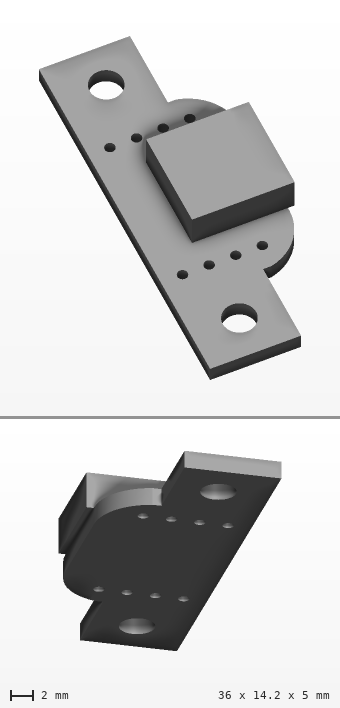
import cadquery as cq
import math

board_length = 36.0
board_thickness = 1.62
base_depth = 8.75
lobe_half_width = 10.0
lobe_top = 13.5
lobe_wall_height = 0.8
lobe_corner_radius = 5.08

screw_hole_diameter = 3.2
screw_hole_x = 14.0

pin_hole_diameter = 1.0
pin_hole_x = 7.65
pin_hole_pitch = 2.55
pin_holes_per_column = 4
first_pin_hole_y = 2.1
screw_hole_y = first_pin_hole_y + pin_hole_pitch

chip_width = 9.65
chip_depth = 9.85
chip_back_y = 14.15
chip_height = 5.0 - board_thickness


def board_outline():
    """Strip and lobe; the corner arcs end tangent to the lobe's straight top edge."""
    half_length = board_length / 2
    wall_top = base_depth + lobe_wall_height
    arc_centre_y = lobe_top - lobe_corner_radius
    arc_reach_x = math.sqrt(lobe_corner_radius**2 - (wall_top - arc_centre_y) ** 2)
    arc_centre_x = lobe_half_width - arc_reach_x
    return (
        cq.Workplane("XY")
        .moveTo(-half_length, 0)
        .lineTo(half_length, 0)
        .lineTo(half_length, base_depth)
        .lineTo(lobe_half_width, base_depth)
        .lineTo(lobe_half_width, wall_top)
        .radiusArc((arc_centre_x, lobe_top), -lobe_corner_radius)
        .lineTo(-arc_centre_x, lobe_top)
        .radiusArc((-lobe_half_width, wall_top), -lobe_corner_radius)
        .lineTo(-lobe_half_width, base_depth)
        .lineTo(-half_length, base_depth)
        .close()
    )


def through_holes(centres, diameter):
    """Cylinders that cut through the full board thickness."""
    return cq.Workplane("XY").pushPoints(centres).circle(diameter / 2).extrude(board_thickness)


def make_board():
    screw_centres = [(side * screw_hole_x, screw_hole_y) for side in (-1, 1)]
    pin_centres = [
        (side * pin_hole_x, first_pin_hole_y + row * pin_hole_pitch)
        for side in (-1, 1)
        for row in range(pin_holes_per_column)
    ]
    return (
        board_outline()
        .extrude(board_thickness)
        .cut(through_holes(screw_centres, screw_hole_diameter))
        .cut(through_holes(pin_centres, pin_hole_diameter))
    )


def make_chip():
    return (
        cq.Workplane("XY")
        .box(chip_width, chip_depth, chip_height, centered=(True, False, False))
        .translate((0, chip_back_y - chip_depth, board_thickness))
    )


board = make_board()
chip = make_chip()
result = cq.Compound.makeCompound([board.val(), chip.val()])